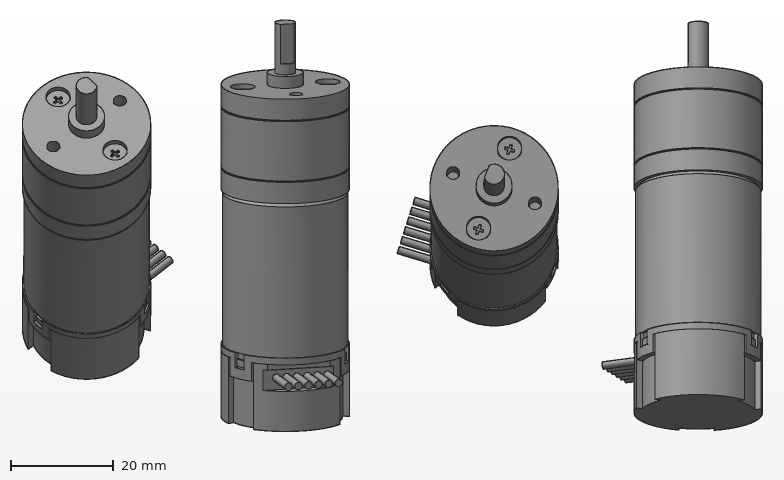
import cadquery as cq

outer_radius = 25.0 / 2
clearance = 0.8

can_top = 45.6
lower_seam = 49.9
upper_seam = 62.05
gearbox_top = 66.55
boss_top = 68.9
flat_bottom = 71.05
shaft_top = 78.95
seam_width = 0.2
seam_depth = 0.15
boss_diameter = 7.0
shaft_diameter = 4.0
shaft_flat_offset = 1.5
bolt_circle_radius = 8.5
mount_hole_diameter = 2.5
mount_hole_depth = gearbox_top - upper_seam
screw_recess_diameter = 4.7
screw_recess_depth = 1.0
cross_length = 2.0
cross_width = 0.5
cross_depth = 0.4

can_radius = 24.5 / 2
can_top_radius = 23.4 / 2
can_chamfer_height = 0.7
ring_top = 14.7
tab_angles = (30, 150, 270)
tab_width = 6.0
tab_bottom = 9.6
window_width = 2.5
window_bottom = 11.7
window_floor_radius = 11.7

cap_top = 13.35
slot_width = 6.9
slot_floor_radius = 11.2
catch_radius = 12.15
catch_gap = 0.2
outlet_bottom = 8.05
outlet_face_y = 10.35
lip_face_y = 10.8
lip_bottom = 12.15

wire_count = 6
wire_diameter = 1.5
wire_pitch = 2.05
wire_tilt = 3.4
wire_height = 10.4
wire_length = 8.45
wire_row_end = (-1.2, 17.85)


def disc(radius, bottom, top):
    """Upright cylinder on the motor axis."""
    return cq.Workplane("XY").workplane(offset=bottom).circle(radius).extrude(top - bottom)


def tube(outer, inner, bottom, top):
    """Upright tube on the motor axis."""
    return disc(outer, bottom, top).cut(disc(inner, bottom, top))


def radial_bar(width, bottom, top, angle):
    """Bar that runs from the motor axis out past the outer surface, at the given angle."""
    length = outer_radius + clearance
    bar = cq.Workplane("XY").box(length, width, top - bottom, centered=(False, True, False))
    return bar.translate((0, 0, bottom)).rotate((0, 0, 0), (0, 0, 1), angle)


def make_shaft():
    shaft = disc(shaft_diameter / 2, gearbox_top, shaft_top)
    flat_cut = (
        cq.Workplane("XY")
        .box(shaft_diameter, shaft_diameter, shaft_top - flat_bottom, centered=(True, False, False))
        .translate((0, shaft_flat_offset, flat_bottom))
    )
    return shaft.cut(flat_cut)


def make_screw_recess(x):
    """Round recess down to a screw head, with the cross of the screw in its floor."""
    floor = gearbox_top - screw_recess_depth
    recess = (
        cq.Workplane("XY")
        .workplane(offset=floor)
        .circle(screw_recess_diameter / 2)
        .extrude(screw_recess_depth)
    )
    cross_bottom = cq.Workplane("XY").workplane(offset=floor - cross_depth)
    for size_x, size_y in ((cross_length, cross_width), (cross_width, cross_length)):
        recess = recess.union(cross_bottom.rect(size_x, size_y).extrude(cross_depth))
    return recess.translate((x, 0, 0))


def make_gearbox():
    body = disc(outer_radius, can_top, gearbox_top)
    for seam in (lower_seam, upper_seam):
        groove = tube(outer_radius + clearance, outer_radius - seam_depth, seam, seam + seam_width)
        body = body.cut(groove)
    mount_holes = (
        cq.Workplane("XY")
        .workplane(offset=gearbox_top - mount_hole_depth)
        .pushPoints([(0, -bolt_circle_radius), (0, bolt_circle_radius)])
        .circle(mount_hole_diameter / 2)
        .extrude(mount_hole_depth)
    )
    body = body.cut(mount_holes)
    for x in (-bolt_circle_radius, bolt_circle_radius):
        body = body.cut(make_screw_recess(x))
    boss = disc(boss_diameter / 2, gearbox_top, boss_top)
    return body.union(boss).union(make_shaft())


def make_can():
    """Can that tapers inward at the top edge, below the gearbox."""
    profile = [
        (0, cap_top),
        (can_radius, cap_top),
        (can_radius, can_top - can_chamfer_height),
        (can_top_radius, can_top),
        (0, can_top),
    ]
    return cq.Workplane("XZ").polyline(profile).close().revolve(360, (0, 0, 0), (0, 1, 0))


def add_clip_tabs(body):
    """Tabs that hang from the ring, each with a window open at the top of the ring."""
    tab_shell = tube(outer_radius, slot_floor_radius, tab_bottom, cap_top)
    ring_window = tube(outer_radius + clearance, window_floor_radius, cap_top, ring_top)
    tab_window = tube(outer_radius + clearance, slot_floor_radius, window_bottom, cap_top)
    window_shell = ring_window.union(tab_window)
    for angle in tab_angles:
        body = body.union(tab_shell.intersect(radial_bar(tab_width, tab_bottom, cap_top, angle)))
        body = body.cut(window_shell.intersect(radial_bar(window_width, window_bottom, ring_top, angle)))
    return body


def make_gear_motor():
    ring = disc(outer_radius, cap_top, ring_top)
    motor = add_clip_tabs(make_can().union(ring))
    return make_gearbox().union(motor)


def make_outlet_step(face_y, bottom):
    """Cutter that leaves a flat face at face_y from the given height up to the clip ring."""
    return (
        cq.Workplane("XY")
        .box(2 * outer_radius, outer_radius, cap_top - bottom, centered=(True, False, False))
        .translate((0, face_y, bottom))
    )


def make_wire_outlet():
    """Cutter for the wire outlet, deeper below the lip."""
    deep_step = make_outlet_step(outlet_face_y, outlet_bottom)
    below_lip = deep_step.cut(make_outlet_step(outlet_face_y, lip_bottom))
    return below_lip.union(make_outlet_step(lip_face_y, lip_bottom))


def make_wire(offset):
    """One wire of the tilted row, placed by its distance from the middle of the row."""
    end_x, end_y = wire_row_end
    wire = cq.Workplane("XZ").center(offset, 0).circle(wire_diameter / 2).extrude(wire_length)
    return wire.rotate((0, 0, 0), (0, 0, 1), wire_tilt).translate((end_x, end_y, wire_height))


def make_end_cap():
    cap = disc(outer_radius, 0, cap_top)
    slot_shell = tube(outer_radius + clearance, slot_floor_radius, 0, cap_top)
    catch_bottom = window_bottom + catch_gap
    catch_width = window_width - 2 * catch_gap
    catch_shell = tube(catch_radius, slot_floor_radius, catch_bottom, cap_top)
    for angle in tab_angles:
        cap = cap.cut(slot_shell.intersect(radial_bar(slot_width, 0, cap_top, angle)))
        cap = cap.union(catch_shell.intersect(radial_bar(catch_width, catch_bottom, cap_top, angle)))
    cap = cap.cut(make_wire_outlet())
    for index in range(wire_count):
        cap = cap.union(make_wire((index - (wire_count - 1) / 2) * wire_pitch))
    return cap


gear_motor = make_gear_motor()
end_cap = make_end_cap()

result = cq.Compound.makeCompound([gear_motor.solids().val(), end_cap.solids().val()])